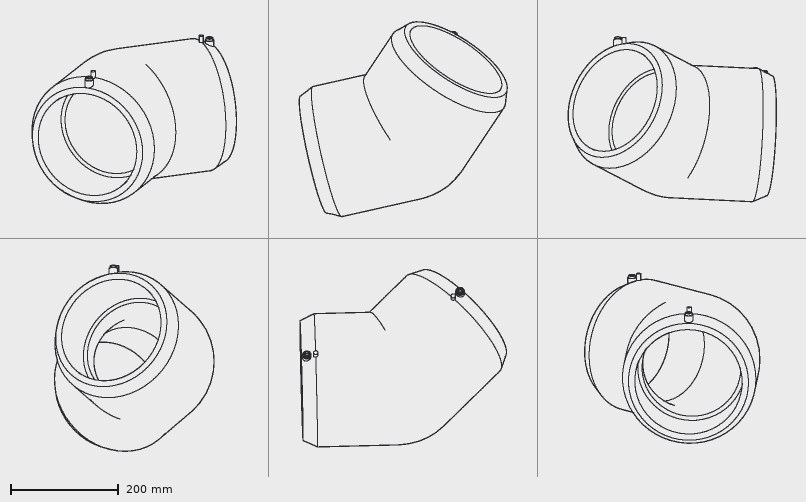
import cadquery as cq
import math

overall_length = 383.0
bend_angle = 45.0

outer_radius = 248.5 / 2
bore_radius = 184.0 / 2
socket_radius = 200.0 / 2
end_radius = 112.0
end_taper_length = 26.5
socket_start = 71.0

bend_cos = math.cos(math.radians(bend_angle))
bend_sin = math.sin(math.radians(bend_angle))
leg_length = (overall_length - end_radius * bend_sin) / (1 + bend_cos)

indicator_diameter = 8.0
indicator_top = 136.5
indicator_place = leg_length - end_taper_length

terminal_diameter = 16.0
terminal_shoulder = 125.5
collar_diameter = 13.0
collar_top = 130.5
collar_chamfer = 1.0
contact_well_diameter = 8.0
contact_well_floor = 118.8
contact_diameter = 5.0
contact_top = 128.5
straight_terminal_place = leg_length - terminal_diameter / 2
tilted_terminal_setback = 2.0
tilted_terminal_place = straight_terminal_place - tilted_terminal_setback

root_height = (socket_radius + end_radius) / 2


def upright_cylinder(diameter, place, bottom, top):
    """Vertical cylinder on the crown of a leg running along -Y."""
    base = cq.Workplane("XY", origin=(0, -place, bottom))
    return base.circle(diameter / 2).extrude(top - bottom)


def turned_about_leg(points):
    """Revolve a (radius, distance from bend) outline about the -Y axis."""
    outline = cq.Workplane("XY").polyline([(radius, -distance) for radius, distance in points]).close()
    return outline.revolve(360, (0, 0, 0), (0, 1, 0))


def leg_body():
    return turned_about_leg([
        (0, 0),
        (outer_radius, 0),
        (outer_radius, leg_length - end_taper_length),
        (end_radius, leg_length),
        (0, leg_length),
    ])


def leg_bore():
    return turned_about_leg([
        (0, 0),
        (bore_radius, 0),
        (bore_radius, socket_start),
        (socket_radius, socket_start),
        (socket_radius, leg_length),
        (0, leg_length),
    ])


def indicator():
    return upright_cylinder(indicator_diameter, indicator_place, root_height, indicator_top)


def terminal(place):
    base = upright_cylinder(terminal_diameter, place, root_height, terminal_shoulder)
    collar = upright_cylinder(collar_diameter, place, terminal_shoulder, collar_top)
    collar = collar.faces(">Z").edges().chamfer(collar_chamfer)
    well = upright_cylinder(contact_well_diameter, place, contact_well_floor, collar_top)
    contact = upright_cylinder(contact_diameter, place, root_height, contact_top)
    return base.union(collar).cut(well).union(contact)


def onto_tilted_leg(shape):
    """Turn a straight-leg shape about the bend centre onto the tilted leg."""
    return shape.rotate((0, 0, 0), (0, 0, 1), 180 - bend_angle)


def on_both_legs(shape):
    return shape.union(onto_tilted_leg(shape))


solid_elbow = cq.Workplane("XY").sphere(outer_radius).union(on_both_legs(leg_body()))
passage = cq.Workplane("XY").sphere(bore_radius).union(on_both_legs(leg_bore()))
elbow = solid_elbow.cut(passage)

result = (
    elbow
    .union(on_both_legs(indicator()))
    .union(terminal(straight_terminal_place))
    .union(onto_tilted_leg(terminal(tilted_terminal_place)))
)